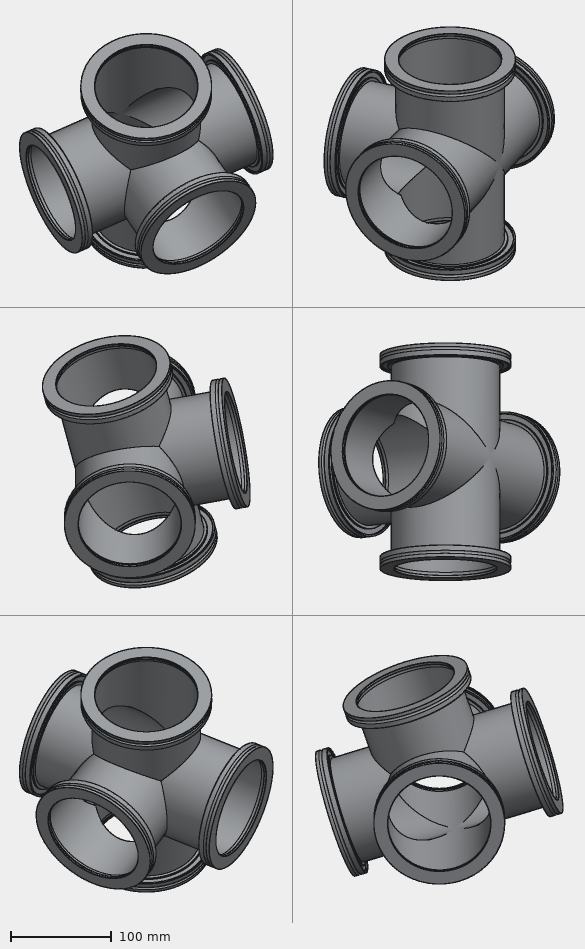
import cadquery as cq
overall_length = 216.0
reach = overall_length / 2

tube_diameter = 108.0
tube_bore_diameter = 104.1
lip_bore_diameter = 102.0
flange_diameter = 130.0
flange_thickness = 12.0

rim_groove_radius = 1.5
rim_groove_setback = 5.2

channel_inner_diameter = 115.0
channel_outer_diameter = 125.7
channel_depth = 1.7

socket_setback = 6.0
lip_length = 2.8

rim_chamfer = 0.2
bore_chamfer = 0.5
channel_chamfer = 0.5

PORT_DIRECTIONS = [(1, 0, 0), (0, 1, 0), (0, -1, 0), (0, 0, 1), (0, 0, -1)]


def port_plane(direction):
    """Plane through the centre of the cross, facing out of a port."""
    return cq.Plane(origin=(0, 0, 0), normal=direction)


def make_cross():
    """Five equal tubes that meet at the origin and open into each other."""
    tube_length = reach - socket_setback
    tubes = cq.Workplane("XY")
    bores = cq.Workplane("XY")
    for direction in PORT_DIRECTIONS:
        port = cq.Workplane(port_plane(direction))
        tubes = tubes.union(port.circle(tube_diameter / 2).extrude(tube_length))
        bores = bores.union(port.circle(tube_bore_diameter / 2).extrude(tube_length))
    return tubes.cut(bores)


def make_flange():
    """Flange turned about Z, with its face at the end of the +Z port."""
    rim = flange_diameter / 2
    bore = lip_bore_diameter / 2
    socket = tube_diameter / 2
    relief = tube_bore_diameter / 2
    hub = channel_inner_diameter / 2
    ledge = channel_outer_diameter / 2

    back = reach - flange_thickness
    channel_floor = back + channel_depth
    groove = reach - rim_groove_setback
    shoulder = reach - socket_setback
    lip = reach - lip_length

    section = (
        cq.Workplane("XZ")
        .moveTo(bore + bore_chamfer, reach)
        .lineTo(rim - rim_chamfer, reach)
        .lineTo(rim, reach - rim_chamfer)
        .lineTo(rim, groove + rim_groove_radius)
        .threePointArc((rim - rim_groove_radius, groove), (rim, groove - rim_groove_radius))
        .lineTo(rim, back + rim_chamfer)
        .lineTo(rim - rim_chamfer, back)
        .lineTo(ledge + channel_chamfer, back)
        .lineTo(ledge, back + channel_chamfer)
        .lineTo(ledge, channel_floor)
        .lineTo(hub, channel_floor)
        .lineTo(hub, back + channel_chamfer)
        .lineTo(hub - channel_chamfer, back)
        .lineTo(socket, back)
        .lineTo(socket, shoulder)
        .lineTo(relief, shoulder)
        .lineTo(relief, lip)
        .lineTo(bore, lip)
        .lineTo(bore, reach - bore_chamfer)
        .close()
    )
    return section.revolve(360, (0, 0, 0), (0, 1, 0)).val()


cross = make_cross()

flange = make_flange()
flanges = []
for direction in PORT_DIRECTIONS:
    flanges.append(flange.moved(cq.Location(port_plane(direction))))

result = cq.Compound.makeCompound([cross.val(), *flanges])